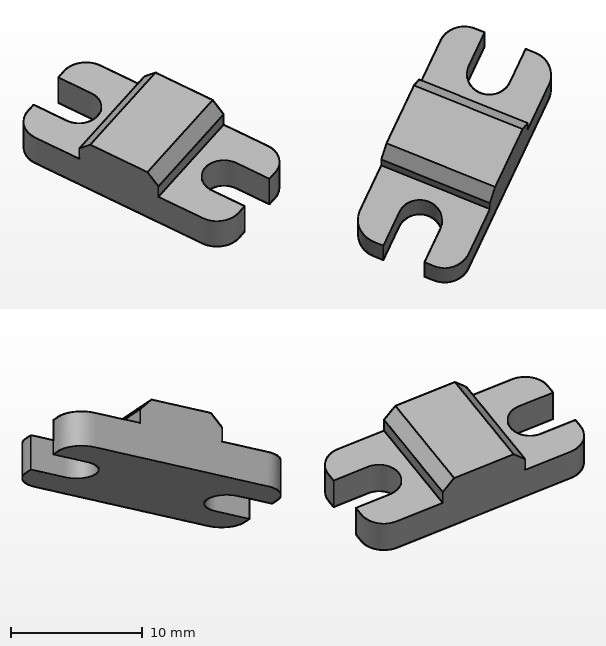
import cadquery as cq

length = 19.2
width = 9.0
base_height = 2.85
corner_radius = 2.0

total_height = 5.0
block_length = 7.2
block_chamfer = 1.0

slot_width = 3.4
slot_depth = 4.7


def make_base():
    plate = cq.Workplane("XY").box(length, width, base_height, centered=(True, True, False))
    return plate.edges("|Z").fillet(corner_radius)


def make_block():
    block = cq.Workplane("XY").box(block_length, width, total_height, centered=(True, True, False))
    return block.faces(">Z").edges("|Y").chamfer(block_chamfer)


def make_slot(side):
    """Round-ended slot running in from the end at side * length / 2."""
    return (
        cq.Workplane("XY")
        .center(side * length / 2, 0)
        .slot2D(2 * slot_depth, slot_width)
        .extrude(base_height)
    )


result = make_base().union(make_block())
for end_side in (-1, 1):
    result = result.cut(make_slot(end_side))